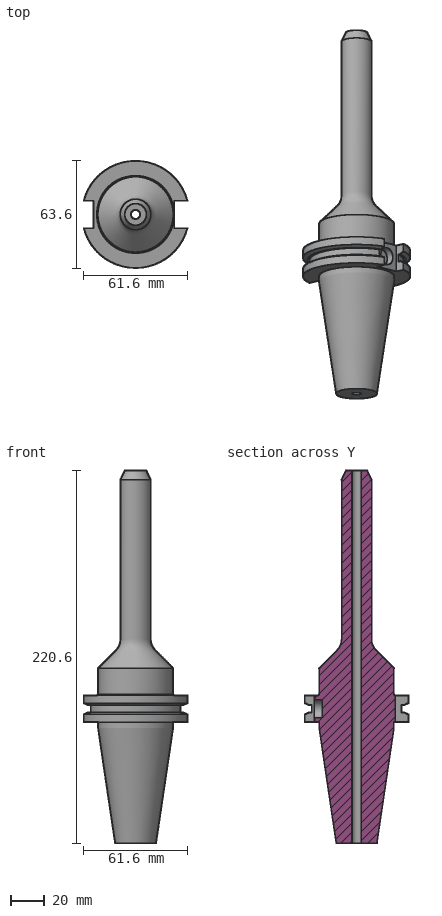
import cadquery as cq
import math

total_height = 220.6
taper_height = 68.5
flange_bottom = 71.7
flange_top = 87.5
flange_middle = (flange_bottom + flange_top) / 2
body_top = 103.7
tip_height = 5.5

taper_small_radius = 12.1
taper_large_radius = 22.3
flange_radius = 31.8
body_radius = 22.3
stem_radius = 9.0
tip_radius = 6.5
bore_radius = 2.6

groove_floor_radius = 27.8
groove_flare_radius = 29.1
groove_floor_width = 4.2
groove_mouth_width = 6.6

collar_radius = 23.0
collar_height = 0.7

blend_radius = 9.3
shoulder_angle = math.radians(45)

slot_width = 16.0
left_slot_floor = 25.0
right_slot_floor = 23.0

pocket_radius = 5.0
pocket_depth = 4.6


def turned_body():
    """Revolve the half outline of the holder about Z."""
    blend_end_radius = stem_radius + blend_radius * (1 - math.cos(shoulder_angle))
    blend_start = body_top + (body_radius - blend_end_radius) * math.tan(shoulder_angle)
    blend_end = blend_start + blend_radius * math.sin(shoulder_angle)
    half_angle = shoulder_angle / 2
    blend_middle = (
        stem_radius + blend_radius * (1 - math.cos(half_angle)),
        blend_end - blend_radius * math.sin(half_angle),
    )
    return (
        cq.Workplane("XZ")
        .moveTo(0, 0)
        .lineTo(taper_small_radius, 0)
        .lineTo(taper_large_radius, taper_height)
        .lineTo(taper_large_radius, flange_bottom)
        .lineTo(flange_radius, flange_bottom)
        .lineTo(flange_radius, flange_middle - groove_mouth_width / 2)
        .lineTo(groove_flare_radius, flange_middle - groove_floor_width / 2)
        .lineTo(groove_floor_radius, flange_middle - groove_floor_width / 2)
        .lineTo(groove_floor_radius, flange_middle + groove_floor_width / 2)
        .lineTo(groove_flare_radius, flange_middle + groove_floor_width / 2)
        .lineTo(flange_radius, flange_middle + groove_mouth_width / 2)
        .lineTo(flange_radius, flange_top)
        .lineTo(collar_radius, flange_top)
        .lineTo(body_radius, flange_top + collar_height)
        .lineTo(body_radius, body_top)
        .lineTo(blend_end_radius, blend_start)
        .threePointArc(blend_middle, (stem_radius, blend_end))
        .lineTo(stem_radius, total_height - tip_height)
        .lineTo(tip_radius, total_height)
        .lineTo(0, total_height)
        .close()
        .revolve(360, (0, 0), (0, 1))
    )


def driving_slot(side, floor):
    """Cutter for one slot; side is -1 for -X and +1 for +X."""
    length = flange_radius
    return (
        cq.Workplane("XY", origin=(side * (floor + length / 2), 0, flange_bottom))
        .rect(length, slot_width)
        .extrude(flange_top - flange_bottom)
    )


def slot_pocket():
    """Cutter for the blind pocket, entering along +X."""
    return (
        cq.Workplane("YZ", origin=(-left_slot_floor, 0, flange_middle))
        .circle(pocket_radius)
        .extrude(pocket_depth)
    )


def through_bore():
    """Cutter for the bore along the whole axis."""
    return cq.Workplane("XY").circle(bore_radius).extrude(total_height)


result = (
    turned_body()
    .cut(driving_slot(-1, left_slot_floor))
    .cut(driving_slot(1, right_slot_floor))
    .cut(slot_pocket())
    .cut(through_bore())
)